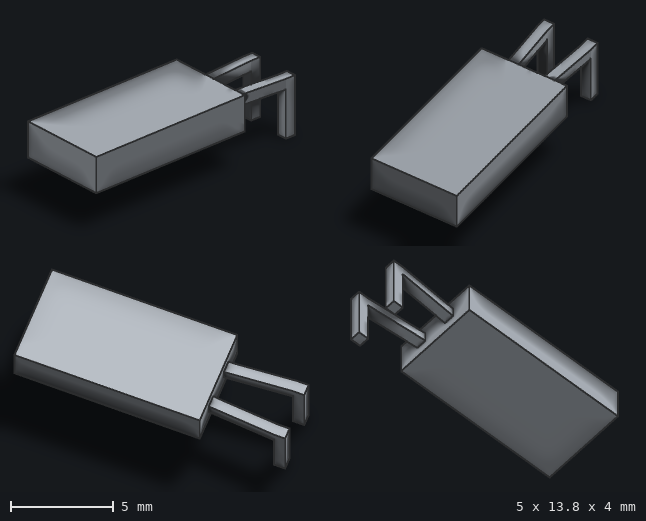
import cadquery as cq

total_length = 13.81
total_height = 4.0

body_width = 5.0
body_length = 9.71
body_height = 2.0

lead_size = 0.6
lead_drop = 0.7
root_offset = 1.01
tip_offset = 1.27

lead_top = body_height - lead_drop
leg_bottom = body_height - total_height
leg_front = total_length - lead_size


def make_lead(side):
    """Splayed horizontal arm and vertical leg; side is -1 or 1 along X."""
    half = lead_size / 2
    root = side * root_offset
    tip = side * tip_offset
    arm = (
        cq.Workplane("XY")
        .workplane(offset=lead_top - lead_size)
        .polyline([
            (root - half, body_length),
            (root + half, body_length),
            (tip + half, leg_front),
            (tip - half, leg_front),
        ])
        .close()
        .extrude(lead_size)
    )
    leg = cq.Workplane("XY").box(
        lead_size, lead_size, lead_top - leg_bottom, centered=(True, False, False)
    ).translate((tip, leg_front, leg_bottom))
    return arm.union(leg)


result = cq.Workplane("XY").box(
    body_width, body_length, body_height, centered=(True, False, False)
)
for side in (-1, 1):
    result = result.union(make_lead(side))